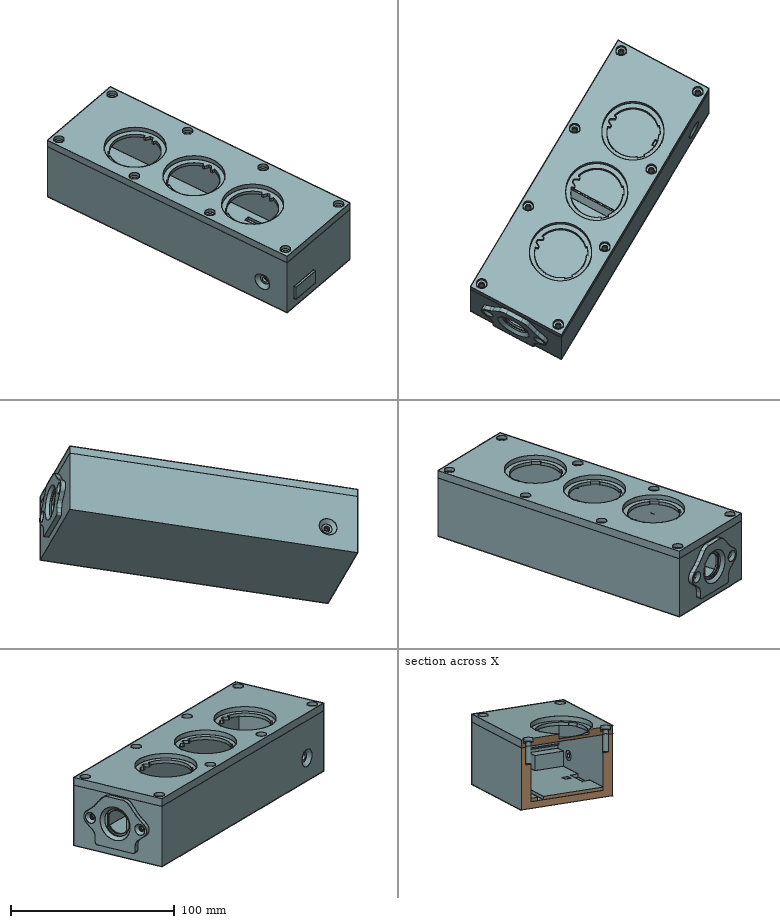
import cadquery as cq
import math

BOX_LENGTH = 184.0
BOX_WIDTH = 64.0
BOX_HEIGHT = 45.0
LID_THICKNESS = 5.0
SIDE_WALL = 7.0
CABLE_WALL = 1.1
FLOOR = 4.7

SCREW_INSET = 5.0
SCREWS_PER_ROW = 4
SCREW_HEAD_DIAMETER = 6.5
SCREW_HEAD_DEPTH = 2.5
SCREW_HOLE_DIAMETER = 3.5
SCREW_HOLE_DEPTH = 11.3

OPENING_COUNT = 3
OPENING_SPACING = 45.0
OPENING_Y = -4.9
RECESS_DIAMETER = 38.0
RECESS_DEPTH = 3.0
OPENING_DIAMETER = 31.9
KEY_TOOTH_RADIUS = 13.8
KEY_TOOTH_HALF_WIDTH = 5.3
KEY_TOOTH_FLAT = 3.8
KEY_GROOVE_RADIUS = 16.5
KEY_GROOVE_HALF_WIDTH = 2.5
KEY_GROOVE_FLAT = 1.0
NOTCH_RADIUS = 16.8
NOTCH_ANGLES = ((219, 235), (295, 315))

FLANGE_THICKNESS = 3.0
FLANGE_AXIS_Z = 22.5
FLANGE_HALF_HEIGHT = 16.8
FLANGE_TOP_HALF_WIDTH = 8.3
FLANGE_WAIST = (15.8, 8.0)
FLANGE_EAR_TIP = 25.8
FLANGE_BASE_HALF_WIDTH = 14.5
FLANGE_BASE_SHOULDER = -9.0
FLANGE_TOP_RADIUS = 6.5
FLANGE_WAIST_RADIUS = 15.0
FLANGE_SHOULDER_RADIUS = 5.7
FLANGE_EAR_RADIUS = 5.0
FLANGE_BASE_RADIUS = 1.7
FLANGE_BORE_DIAMETER = 17.7
FLANGE_BORE_CHAMFER = 2.0
FLANGE_SLOT_WIDTH = 14.1
FLANGE_SCREW_OFFSET = 18.0
FLANGE_SCREW_DIAMETER = 3.4
FLANGE_SINK_DIAMETER = 7.2
CABLE_HOLE_DIAMETER = 15.3

RIDGE_START_X = 93.1
RIDGE_HEIGHT = 3.5
RIDGE_LAND = 1.1
BOARD_THICKNESS = 2.0
BOARD_SLOT_LENGTH = 22.6
BOARD_SLOT_WIDTH = 3.5
BOARD_SLOT_Y = 18.5
BOARD_HOLE_SIZE = 4.0
BOARD_HOLE_CORNER = (146.7, -12.8)
BOARD_SCREW_DIAMETER = 2.8
BOARD_SCREW_POINT = (174.7, 21.0)
BOARD_NOTCH_Y = -19.6
BOARD_NOTCH_LENGTH = 15.0

SOCKET_WIDTH = 20.0
SOCKET_HEIGHT = 9.6
SOCKET_DEPTH_INSIDE = 5.7
SOCKET_PROTRUSION = 1.5
POCKET_EDGE_Y = -4.1
POCKET_TOP_Z = 19.8
POCKET_DEPTH = 1.5

JACK_X = 165.0
JACK_Z = 15.3
JACK_DIAMETER = 6.5
JACK_SINK_DIAMETER = 11.3
JACK_BORE_DIAMETER = 3.5
JACK_BORE_DEPTH = 1.9
JACK_PIN_HOLE_DIAMETER = 2.8

LID_BOTTOM_Z = BOX_HEIGHT - LID_THICKNESS
CAVITY_END_X = BOX_LENGTH - SIDE_WALL
CAVITY_LENGTH = CAVITY_END_X - CABLE_WALL
CAVITY_WIDTH = BOX_WIDTH - 2 * SIDE_WALL
CAVITY_FRONT_Y = -CAVITY_WIDTH / 2
BOARD_START_X = RIDGE_START_X + RIDGE_HEIGHT + RIDGE_LAND
BOARD_LENGTH = CAVITY_END_X - BOARD_START_X
BOARD_MIDDLE_X = BOARD_START_X + BOARD_LENGTH / 2
BOARD_TOP_Z = FLOOR + BOARD_THICKNESS
JACK_SINK_DEPTH = (JACK_SINK_DIAMETER - JACK_DIAMETER) / 2

SCREW_STEP = (BOX_LENGTH - 2 * SCREW_INSET) / (SCREWS_PER_ROW - 1)
SCREW_POINTS = [
    (SCREW_INSET + i * SCREW_STEP, side * (BOX_WIDTH / 2 - SCREW_INSET))
    for i in range(SCREWS_PER_ROW)
    for side in (-1, 1)
]
OPENING_POINTS = [
    (BOX_LENGTH / 2 + (i - (OPENING_COUNT - 1) / 2) * OPENING_SPACING, OPENING_Y)
    for i in range(OPENING_COUNT)
]
FLANGE_SCREW_POINTS = [(side * FLANGE_SCREW_OFFSET, 0) for side in (-1, 1)]


def block(x, y, z, length, width, height):
    """Box with its lowest corner at (x, y, z)."""
    return cq.Workplane("XY").box(length, width, height, centered=False).translate((x, y, z))


def end_plane(x):
    """Plane across the box at x, centred on the connector axis, with local x along +Y and normal +X."""
    return cq.Workplane("YZ", origin=(x, 0, FLANGE_AXIS_Z))


def front_plane(y):
    """Plane at y, centred on the jack axis, with its normal toward +Y."""
    return cq.Workplane(cq.Plane(origin=(JACK_X, y, JACK_Z), xDir=(1, 0, 0), normal=(0, 1, 0)))


def notch_sector(start, end):
    """Pie slice of the notch radius between two angles in degrees."""
    angles = [math.radians(a) for a in (start, (start + end) / 2, end)]
    first, middle, last = [(NOTCH_RADIUS * math.cos(a), NOTCH_RADIUS * math.sin(a)) for a in angles]
    return cq.Workplane("XY").lineTo(*first).threePointArc(middle, last).close().extrude(LID_THICKNESS)


def keyed_opening():
    """Cutter for one lid opening: wide recess above a round hole with a grooved key at +Y."""
    hole = cq.Workplane("XY").circle(OPENING_DIAMETER / 2).extrude(LID_THICKNESS)
    for start, end in NOTCH_ANGLES:
        hole = hole.union(notch_sector(start, end))
    tooth = (
        cq.Workplane("XY")
        .moveTo(-KEY_TOOTH_FLAT, KEY_TOOTH_RADIUS)
        .lineTo(KEY_TOOTH_FLAT, KEY_TOOTH_RADIUS)
        .lineTo(KEY_TOOTH_HALF_WIDTH, RECESS_DIAMETER / 2)
        .lineTo(-KEY_TOOTH_HALF_WIDTH, RECESS_DIAMETER / 2)
        .close()
        .extrude(LID_THICKNESS)
    )
    groove = (
        cq.Workplane("XY")
        .moveTo(-KEY_GROOVE_HALF_WIDTH, KEY_TOOTH_RADIUS)
        .lineTo(KEY_GROOVE_HALF_WIDTH, KEY_TOOTH_RADIUS)
        .lineTo(KEY_GROOVE_FLAT, KEY_GROOVE_RADIUS)
        .lineTo(-KEY_GROOVE_FLAT, KEY_GROOVE_RADIUS)
        .close()
        .extrude(LID_THICKNESS)
    )
    recess = (
        cq.Workplane("XY", origin=(0, 0, LID_THICKNESS - RECESS_DEPTH))
        .circle(RECESS_DIAMETER / 2)
        .extrude(RECESS_DEPTH)
    )
    return hole.cut(tooth).union(groove).union(recess)


def make_lid():
    lid = block(0, -BOX_WIDTH / 2, LID_BOTTOM_Z, BOX_LENGTH, BOX_WIDTH, LID_THICKNESS)
    lid = (
        lid.faces(">Z")
        .workplane(origin=(0, 0, BOX_HEIGHT))
        .pushPoints(SCREW_POINTS)
        .cboreHole(SCREW_HOLE_DIAMETER, SCREW_HEAD_DIAMETER, SCREW_HEAD_DEPTH)
    )
    opening = keyed_opening()
    for x, y in OPENING_POINTS:
        lid = lid.cut(opening.translate((x, y, LID_BOTTOM_Z)))
    return lid


def make_flange():
    right_side = [
        (FLANGE_TOP_HALF_WIDTH, FLANGE_HALF_HEIGHT, FLANGE_TOP_RADIUS),
        (*FLANGE_WAIST, FLANGE_WAIST_RADIUS),
        (FLANGE_EAR_TIP, 0, FLANGE_EAR_RADIUS),
        (FLANGE_BASE_HALF_WIDTH, FLANGE_BASE_SHOULDER, FLANGE_SHOULDER_RADIUS),
        (FLANGE_BASE_HALF_WIDTH, -FLANGE_HALF_HEIGHT, FLANGE_BASE_RADIUS),
    ]
    left_side = [(-y, z, radius) for y, z, radius in reversed(right_side)]
    corners = right_side + left_side
    flange = end_plane(-FLANGE_THICKNESS).polyline([(y, z) for y, z, _ in corners]).close()
    flange = flange.extrude(FLANGE_THICKNESS)
    for y, z, radius in corners:
        corner = (-FLANGE_THICKNESS / 2, y, FLANGE_AXIS_Z + z)
        flange = flange.edges(cq.selectors.NearestToPointSelector(corner)).fillet(radius)

    bore_radius = FLANGE_BORE_DIAMETER / 2
    mouth = (
        end_plane(-FLANGE_THICKNESS)
        .circle(bore_radius + FLANGE_BORE_CHAMFER)
        .workplane(offset=FLANGE_BORE_CHAMFER)
        .circle(bore_radius)
        .loft()
    )
    slot_outline = end_plane(-FLANGE_THICKNESS).rect(FLANGE_SLOT_WIDTH, FLANGE_BORE_DIAMETER)
    slot = slot_outline.extrude(FLANGE_THICKNESS)
    bore = end_plane(-FLANGE_THICKNESS).circle(bore_radius).extrude(FLANGE_THICKNESS).intersect(slot)
    flange = flange.cut(mouth).cut(bore)

    sink_depth = (FLANGE_SINK_DIAMETER - FLANGE_SCREW_DIAMETER) / 2
    for y, z in FLANGE_SCREW_POINTS:
        hole = end_plane(-FLANGE_THICKNESS).center(y, z)
        flange = flange.cut(hole.circle(FLANGE_SCREW_DIAMETER / 2).extrude(FLANGE_THICKNESS))
        sink = (
            end_plane(-FLANGE_THICKNESS)
            .center(y, z)
            .circle(FLANGE_SINK_DIAMETER / 2)
            .workplane(offset=sink_depth)
            .circle(FLANGE_SCREW_DIAMETER / 2)
            .loft()
        )
        flange = flange.cut(sink)
    return flange


def socket_block():
    start_x = CAVITY_END_X - SOCKET_DEPTH_INSIDE
    length = BOX_LENGTH + SOCKET_PROTRUSION - start_x
    return block(start_x, CAVITY_FRONT_Y, BOARD_TOP_Z, length, SOCKET_WIDTH, SOCKET_HEIGHT)


def make_board():
    board = block(BOARD_START_X, CAVITY_FRONT_Y, FLOOR, BOARD_LENGTH, CAVITY_WIDTH, BOARD_THICKNESS)
    slot = block(
        BOARD_MIDDLE_X - BOARD_SLOT_LENGTH,
        BOARD_SLOT_Y - BOARD_SLOT_WIDTH / 2,
        FLOOR,
        BOARD_SLOT_LENGTH,
        BOARD_SLOT_WIDTH,
        BOARD_THICKNESS,
    )
    hole_x, hole_top_y = BOARD_HOLE_CORNER
    hole = block(
        hole_x, hole_top_y - BOARD_HOLE_SIZE, FLOOR, BOARD_HOLE_SIZE, BOARD_HOLE_SIZE, BOARD_THICKNESS
    )
    notch = block(
        BOARD_MIDDLE_X,
        CAVITY_FRONT_Y,
        FLOOR,
        BOARD_NOTCH_LENGTH,
        BOARD_NOTCH_Y - CAVITY_FRONT_Y,
        BOARD_THICKNESS,
    )
    screw_hole = (
        cq.Workplane("XY", origin=(*BOARD_SCREW_POINT, FLOOR))
        .circle(BOARD_SCREW_DIAMETER / 2)
        .extrude(BOARD_THICKNESS)
    )
    return board.cut(slot).cut(hole).cut(notch).cut(screw_hole).union(socket_block())


def make_jack():
    face_y = -BOX_WIDTH / 2 + JACK_SINK_DEPTH
    length = CAVITY_FRONT_Y - face_y
    jack = front_plane(face_y).circle(JACK_DIAMETER / 2).extrude(length)
    bore = front_plane(face_y).circle(JACK_BORE_DIAMETER / 2).extrude(JACK_BORE_DEPTH)
    pin_hole = front_plane(face_y).circle(JACK_PIN_HOLE_DIAMETER / 2).extrude(length)
    return jack.cut(bore).cut(pin_hole)


def floor_ridge():
    """Ridge across the floor with a 45 degree slope toward -X and an upright back."""
    return (
        cq.Workplane("XZ", origin=(0, CAVITY_WIDTH / 2, 0))
        .moveTo(RIDGE_START_X, FLOOR)
        .lineTo(RIDGE_START_X + RIDGE_HEIGHT, FLOOR + RIDGE_HEIGHT)
        .lineTo(BOARD_START_X, FLOOR + RIDGE_HEIGHT)
        .lineTo(BOARD_START_X, FLOOR)
        .close()
        .extrude(CAVITY_WIDTH)
    )


def socket_pocket():
    """Shallow pocket inside the +X wall around the socket, with a sloping ceiling."""
    return (
        cq.Workplane("XZ", origin=(0, POCKET_EDGE_Y, 0))
        .moveTo(CAVITY_END_X, BOARD_TOP_Z)
        .lineTo(CAVITY_END_X + POCKET_DEPTH, BOARD_TOP_Z)
        .lineTo(CAVITY_END_X + POCKET_DEPTH, POCKET_TOP_Z - POCKET_DEPTH)
        .lineTo(CAVITY_END_X, POCKET_TOP_Z)
        .close()
        .extrude(POCKET_EDGE_Y - CAVITY_FRONT_Y)
    )


def make_housing():
    housing = block(0, -BOX_WIDTH / 2, 0, BOX_LENGTH, BOX_WIDTH, LID_BOTTOM_Z)
    cavity = block(CABLE_WALL, CAVITY_FRONT_Y, FLOOR, CAVITY_LENGTH, CAVITY_WIDTH, LID_BOTTOM_Z)
    housing = housing.cut(cavity).union(floor_ridge())

    screw_holes = (
        cq.Workplane("XY", origin=(0, 0, LID_BOTTOM_Z))
        .pushPoints(SCREW_POINTS)
        .circle(SCREW_HOLE_DIAMETER / 2)
        .extrude(-SCREW_HOLE_DEPTH)
    )
    housing = housing.cut(screw_holes)

    flats = end_plane(0).rect(FLANGE_SLOT_WIDTH, CABLE_HOLE_DIAMETER).extrude(CABLE_WALL)
    cable_hole = end_plane(0).circle(CABLE_HOLE_DIAMETER / 2).extrude(CABLE_WALL).intersect(flats)
    housing = housing.cut(cable_hole)
    flange_screws = end_plane(0).pushPoints(FLANGE_SCREW_POINTS).circle(FLANGE_SCREW_DIAMETER / 2)
    housing = housing.cut(flange_screws.extrude(CABLE_WALL))

    housing = housing.cut(socket_block()).cut(socket_pocket())

    front_y = -BOX_WIDTH / 2
    sink = (
        front_plane(front_y)
        .circle(JACK_SINK_DIAMETER / 2)
        .workplane(offset=JACK_SINK_DEPTH)
        .circle(JACK_DIAMETER / 2)
        .loft()
    )
    return housing.cut(front_plane(front_y).circle(JACK_DIAMETER / 2).extrude(SIDE_WALL)).cut(sink)


housing = make_housing()
lid = make_lid()
flange = make_flange()
board = make_board()
jack = make_jack()

result = cq.Compound.makeCompound([housing.val(), lid.val(), flange.val(), board.val(), jack.val()])